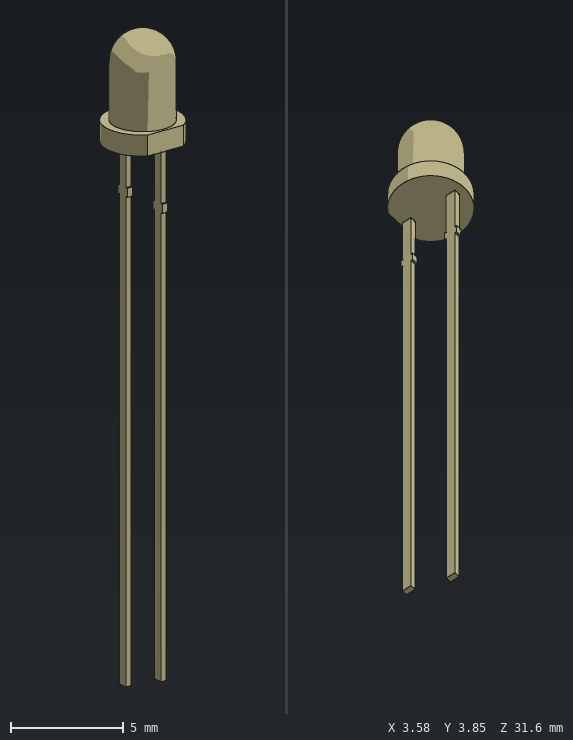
import cadquery as cq

total_height = 31.6

lens_diameter = 3.0
lens_radius = lens_diameter / 2
lens_height = 5.3
flange_diameter = 3.85
flange_thickness = 1.0
flat_distance = 1.65

lead_spacing = 2.53
lead_width = 0.5
lead_depth = 0.3
long_lead_length = total_height - lens_height
lead_length_step = 1.0
short_lead_length = long_lead_length - lead_length_step
stop_width = 0.7
stop_height = 0.45
stop_top_drop = 2.5


def make_flange():
    """Round flange cut off flat on its +X side."""
    disc = cq.Workplane("XY").circle(flange_diameter / 2).extrude(flange_thickness)
    beyond_flat = (
        cq.Workplane("XY")
        .box(flange_diameter, flange_diameter, flange_thickness, centered=(False, True, False))
        .translate((flat_distance, 0, 0))
    )
    return disc.cut(beyond_flat)


def make_lens():
    """Flange and lens with a hemispherical top, as one solid."""
    barrel = cq.Workplane("XY").circle(lens_radius).extrude(lens_height - lens_radius)
    dome = (
        cq.Workplane("XY")
        .sphere(lens_radius, angle1=0)
        .translate((0, 0, lens_height - lens_radius))
    )
    return make_flange().union(barrel).union(dome)


def hanging_block(width, height, top_drop):
    """Block of lead thickness whose top lies top_drop below the flange underside."""
    return (
        cq.Workplane("XY")
        .box(width, lead_depth, height, centered=(True, True, False))
        .translate((0, 0, -top_drop - height))
    )


def make_lead(x, length):
    """Lead hanging from the flange underside, with its stop."""
    strip = hanging_block(lead_width, length, 0)
    stop = hanging_block(stop_width, stop_height, stop_top_drop)
    return strip.union(stop).translate((x, 0, 0))


lens = make_lens()
lead_layout = [
    (-lead_spacing / 2, long_lead_length),
    (lead_spacing / 2, short_lead_length),
]
leads = [make_lead(x, length) for x, length in lead_layout]

result = cq.Compound.makeCompound([lens.val(), *[lead.val() for lead in leads]])